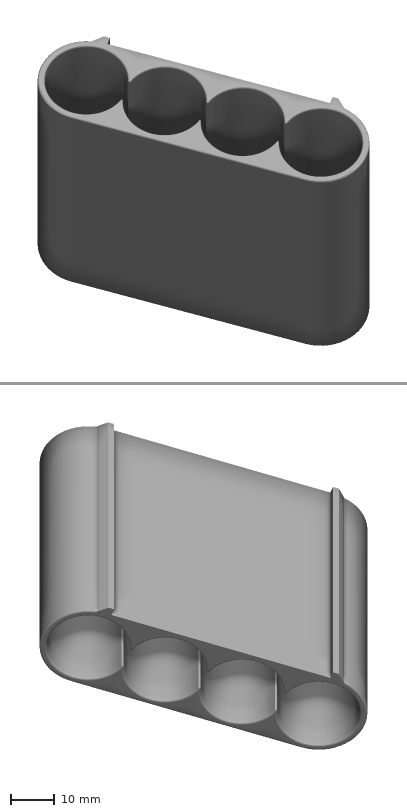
import cadquery as cq

length = 79.3
depth = 24.3
height = 65.0

bore_count = 4
bore_pitch = 18.95
bore_radius = 9.6
passage_width = 5.3
edge_round = 0.5

row_length = (bore_count - 1) * bore_pitch
end_radius = (length - row_length) / 2
rail_height = depth - 2 * end_radius
rail_land = 1.4
rail_outer_x = row_length / 2
rail_inner_x = rail_outer_x - rail_land
rail_root_drop = 1.2


def make_body():
    """Stadium-shaped block; rims are rounded at the front and around both ends."""
    body = (
        cq.Workplane("XY")
        .slot2D(length, 2 * end_radius)
        .extrude(height)
        .faces("<Z or >Z")
        .edges()
        .fillet(edge_round)
    )
    rear_wall = (
        cq.Workplane("XY")
        .rect(2 * rail_outer_x, end_radius)
        .extrude(height)
        .translate((0, end_radius / 2, 0))
    )
    return body.union(rear_wall)


def make_rail(side):
    """Rear rail with an upright inner face and a 45 degree outer face."""
    top_y = end_radius + rail_height
    root_y = end_radius - rail_root_drop
    slope_run = top_y - root_y
    return (
        cq.Workplane("XY")
        .moveTo(side * rail_inner_x, root_y)
        .lineTo(side * rail_inner_x, top_y)
        .lineTo(side * rail_outer_x, top_y)
        .lineTo(side * (rail_outer_x + slope_run), root_y)
        .close()
        .extrude(height)
    )


def make_bore(x):
    """Through bore that is rounded outward at both mouths."""
    mouth_radius = bore_radius + edge_round
    return (
        cq.Workplane("XZ")
        .lineTo(mouth_radius, 0)
        .radiusArc((bore_radius, edge_round), edge_round)
        .lineTo(bore_radius, height - edge_round)
        .radiusArc((mouth_radius, height), edge_round)
        .lineTo(0, height)
        .close()
        .revolve(360, (0, 0), (0, 1))
        .translate((x, 0, 0))
    )


result = make_body()
for side in (-1, 1):
    result = result.union(make_rail(side))

for index in range(bore_count):
    result = result.cut(make_bore(index * bore_pitch - row_length / 2))

passage = cq.Workplane("XY").rect(row_length, passage_width).extrude(height)
result = result.cut(passage)